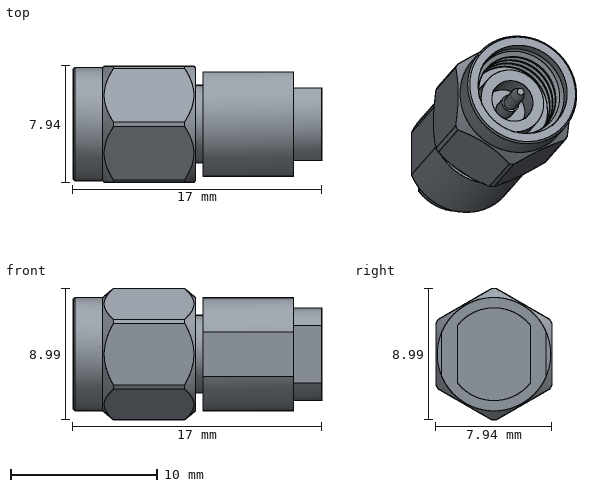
import cadquery as cq
import math


LENGTH = 16.99
HEX_START = 2.01
HEX_END = 8.36
BODY_START = 8.86
BODY_END = 15.07

NUT_DIAMETER = 7.76
NUT_EDGE_CHAMFER = 0.12
HEX_ACROSS_FLATS = 7.94
HEX_ACROSS_CORNERS = 8.99
HEX_CHAMFER_LENGTH = 0.74

NECK_DIAMETER = 5.33
BODY_DIAMETER = 7.76
BODY_ACROSS_FLATS = 7.14
TAIL_DIAMETER = 6.35
TAIL_ACROSS_FLATS = 4.98

ENTRY_DIAMETER = 6.35
ENTRY_DEPTH = 0.8
THREADS_PER_INCH = 36
THREAD_PITCH = 25.4 / THREADS_PER_INCH
THREAD_FLANK_ANGLE = math.radians(30)
THREAD_HEIGHT = 5 / 8 * THREAD_PITCH * math.cos(THREAD_FLANK_ANGLE)
THREAD_ROOT_CLEARANCE = 0.01
THREAD_ROOT_RADIUS = ENTRY_DIAMETER / 2 - THREAD_ROOT_CLEARANCE
THREAD_ROOT_FLAT = THREAD_PITCH / 8
THREAD_MINOR_RADIUS = ENTRY_DIAMETER / 2 - THREAD_HEIGHT
THREAD_OVERCUT = 0.05
THREAD_START = 0.34
THREAD_START_ANGLE = 180
THREAD_TURNS = 4.5
RELIEF_DIAMETER = 6.6
RELIEF_START = 3.6
BORE_DEPTH = 4.4

SLEEVE_DIAMETER = 4.45
SLEEVE_BORE = 2.92
SLEEVE_FRONT = 2.52
SLEEVE_BORE_DEPTH = 2.0
PIN_DIAMETER = 0.94
PIN_TIP_DIAMETER = 0.48
PIN_TIP = 0.5
PIN_TAPER_LENGTH = 0.75
PIN_SHOULDER_DIAMETER = 1.19
PIN_SHOULDER_SETBACK = 0.5
PIN_SHOULDER = SLEEVE_FRONT + PIN_SHOULDER_SETBACK


def cylinder(start, end, diameter):
    """Solid cylinder on the X axis between two stations."""
    return cq.Workplane("YZ", origin=(start, 0, 0)).circle(diameter / 2).extrude(end - start)


def revolved(profile):
    """Solid of revolution about X from (x, radius) points."""
    return cq.Workplane("XY").polyline(profile).close().revolve(360, (0, 0, 0), (1, 0, 0))


def flatted_cylinder(start, end, diameter, across_flats):
    """Cylinder with two opposite flats facing -Y and +Y."""
    length = end - start
    slab = cq.Workplane("XY").box(length, across_flats, diameter).translate((start + length / 2, 0, 0))
    return cylinder(start, end, diameter).intersect(slab)


def hexagon():
    """Hexagon with corners on +Z and -Z, cut down by a cylinder with a cone at each end."""
    circumscribed = HEX_ACROSS_FLATS / math.cos(math.radians(30))
    prism = (
        cq.Workplane("YZ", origin=(HEX_START, 0, 0))
        .transformed(rotate=(0, 0, 90))
        .polygon(6, circumscribed)
        .extrude(HEX_END - HEX_START)
    )
    corner_radius = HEX_ACROSS_CORNERS / 2
    end_radius = NUT_DIAMETER / 2
    envelope = revolved([
        (HEX_START, 0),
        (HEX_START, end_radius),
        (HEX_START + HEX_CHAMFER_LENGTH, corner_radius),
        (HEX_END - HEX_CHAMFER_LENGTH, corner_radius),
        (HEX_END, end_radius),
        (HEX_END, 0),
    ])
    return prism.intersect(envelope)


def nut_collar():
    """Round front end of the nut with a chamfered rim."""
    return cylinder(0, HEX_START, NUT_DIAMETER).faces("<X").chamfer(NUT_EDGE_CHAMFER)


def nut_bore():
    """Stepped bore: wide entry, 45 degree lead-in, thread crest diameter and end relief."""
    entry_radius = ENTRY_DIAMETER / 2
    relief_radius = RELIEF_DIAMETER / 2
    return revolved([
        (0, 0),
        (0, entry_radius),
        (ENTRY_DEPTH, entry_radius),
        (ENTRY_DEPTH + THREAD_HEIGHT, THREAD_MINOR_RADIUS),
        (RELIEF_START, THREAD_MINOR_RADIUS),
        (RELIEF_START, relief_radius),
        (BORE_DEPTH, relief_radius),
        (BORE_DEPTH, 0),
    ])


def thread_groove():
    """Right-hand helical groove with 60 degree flanks, built along Z and laid onto X."""
    inner_radius = THREAD_MINOR_RADIUS - THREAD_OVERCUT
    half_root = THREAD_ROOT_FLAT / 2
    half_mouth = half_root + (THREAD_ROOT_RADIUS - inner_radius) * math.tan(THREAD_FLANK_ANGLE)
    helix = cq.Wire.makeHelix(THREAD_PITCH, THREAD_TURNS * THREAD_PITCH, THREAD_ROOT_RADIUS)
    groove = (
        cq.Workplane("XZ")
        .polyline([
            (inner_radius, -half_mouth),
            (THREAD_ROOT_RADIUS, -half_root),
            (THREAD_ROOT_RADIUS, half_root),
            (inner_radius, half_mouth),
        ])
        .close()
        .sweep(cq.Workplane(obj=helix), isFrenet=True)
    )
    return (
        groove.rotate((0, 0, 0), (0, 0, 1), THREAD_START_ANGLE)
        .rotate((0, 0, 0), (0, 1, 0), 90)
        .translate((THREAD_START, 0, 0))
    )


def contact_sleeve():
    """Tube standing in the nut bore."""
    return cylinder(SLEEVE_FRONT, BORE_DEPTH, SLEEVE_DIAMETER)


def centre_pin():
    """Pin with a tapered tip and a wider shoulder, rooted in the floor of the sleeve bore."""
    pin_radius = PIN_DIAMETER / 2
    shoulder_radius = PIN_SHOULDER_DIAMETER / 2
    root = SLEEVE_FRONT + SLEEVE_BORE_DEPTH
    return revolved([
        (PIN_TIP, 0),
        (PIN_TIP, PIN_TIP_DIAMETER / 2),
        (PIN_TIP + PIN_TAPER_LENGTH, pin_radius),
        (PIN_SHOULDER, pin_radius),
        (PIN_SHOULDER, shoulder_radius),
        (root, shoulder_radius),
        (root, 0),
    ])


nut = nut_collar().union(hexagon()).cut(nut_bore()).cut(thread_groove())
neck = cylinder(HEX_END, BODY_START, NECK_DIAMETER)
body = flatted_cylinder(BODY_START, BODY_END, BODY_DIAMETER, BODY_ACROSS_FLATS)
tail = flatted_cylinder(BODY_END, LENGTH, TAIL_DIAMETER, TAIL_ACROSS_FLATS)
sleeve_bore = cylinder(SLEEVE_FRONT, SLEEVE_FRONT + SLEEVE_BORE_DEPTH, SLEEVE_BORE)

result = nut.union(neck).union(body).union(tail)
result = result.union(contact_sleeve()).cut(sleeve_bore).union(centre_pin())